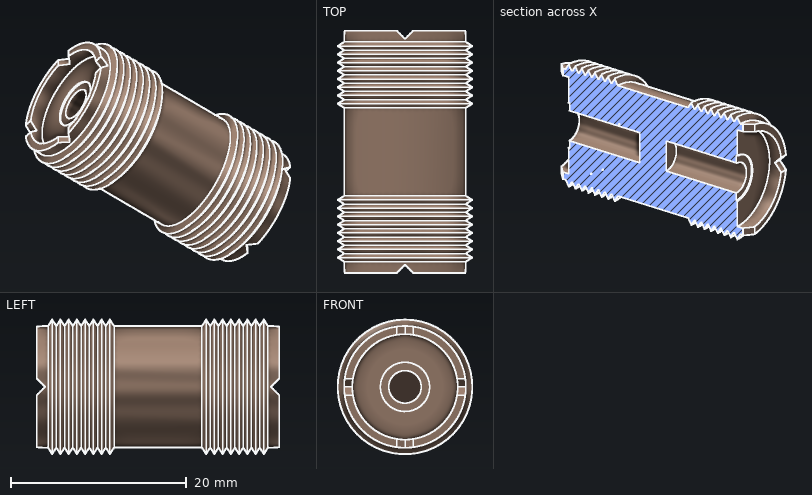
import cadquery as cq

length = 27.58
body_radius = 6.93

crest_radius = 7.67
ring_count = 8
ring_pitch = 0.9375
middle_length = 10.0

recess_radius = 6.0
recess_depth = 1.7
contact_radius = 2.8
contact_setback = 0.15
bore_radius = 1.85
bore_depth = 10.0
notch_depth = 0.94

half_length = length / 2
band_length = ring_count * ring_pitch
contact_face_depth = recess_depth + contact_setback


def barrel():
    """Body of revolution with one threaded band on each side of the middle."""
    profile = cq.Workplane("ZY").moveTo(0, -half_length).lineTo(body_radius, -half_length)
    for band_start in (-middle_length / 2 - band_length, middle_length / 2):
        for ring in range(ring_count):
            ring_start = band_start + ring * ring_pitch
            profile = profile.lineTo(body_radius, ring_start)
            profile = profile.lineTo(crest_radius, ring_start + ring_pitch / 2)
        profile = profile.lineTo(body_radius, band_start + band_length)
    profile = profile.lineTo(body_radius, half_length).lineTo(0, half_length).close()
    return profile.revolve(360, (0, 0, 0), (0, 1, 0))


def end_hole(radius, depth):
    """Round cutter running from the +Y end face toward the middle."""
    return cq.Workplane("XZ", origin=(0, half_length, 0)).circle(radius).extrude(depth)


def rim_notch():
    """V-shaped cutter lying along Z across the whole +Y rim."""
    return (
        cq.Workplane("XY", origin=(0, half_length, 0))
        .polyline([(-notch_depth, 0), (notch_depth, 0), (0, -notch_depth)])
        .close()
        .extrude(crest_radius, both=True)
    )


def end_cutter():
    """Everything removed from the +Y end: recess, sunken contact face, bore and four rim notches."""
    notch = rim_notch()
    cutter = end_hole(recess_radius, recess_depth)
    cutter = cutter.union(end_hole(contact_radius, contact_face_depth))
    cutter = cutter.union(end_hole(bore_radius, contact_face_depth + bore_depth))
    return cutter.union(notch).union(notch.rotate((0, 0, 0), (0, 1, 0), 90))


cutter = end_cutter()
result = barrel().cut(cutter).cut(cutter.mirror("XZ"))